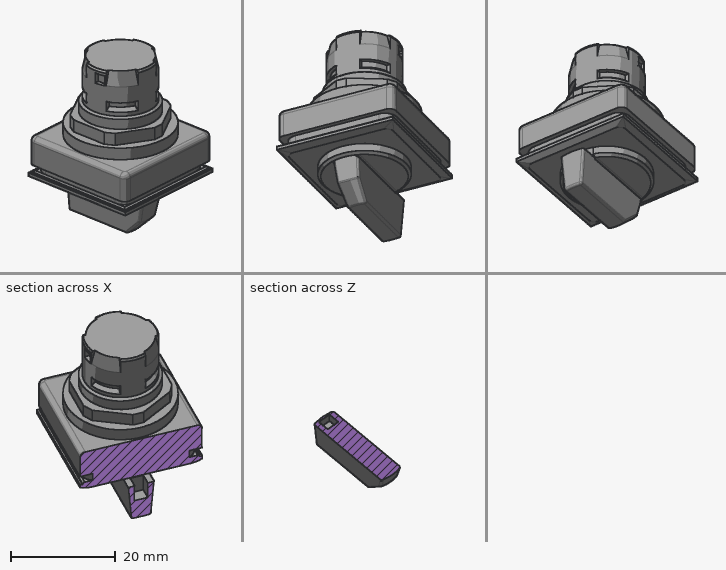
import cadquery as cq
import math

HANDLE_TOP = 8.1
PLATE_BOTTOM = 10.15
PLATE_RIM_BOTTOM = 10.85
PLATE_RIM_TOP = 11.58
SEAL_RIM_TOP = 11.75
NECK_BOTTOM = 12.0
BODY_BOTTOM = 13.55
BODY_TOP = 19.5
FLANGE_TOP = 21.95
NUT_TOP = 24.5
COLLAR_TOP = 26.95
BARREL_TOP = 36.3

OVERSIZE = 36.3

PLATE_SIDE = 24.9
PLATE_BOTTOM_SIDE = 22.2
PLATE_RIM_CORNER = 0.05
PLATE_BOTTOM_CORNER = 1.45
SEAL_SIDE = 23.95
NECK_SIDE = 23.0
NECK_CORNER = 2.58
BODY_CORNER = 1.4
BODY_TOP_FILLET = 1.05

FLANGE_DIAMETER = 22.0
COLLAR_DIAMETER = 16.0
COLLAR_CHAMFER_HEIGHT = 0.33
BARREL_DIAMETER = 14.65
BARREL_TOP_DIAMETER = 14.15
BARREL_CHAMFER_HEIGHT = 0.47

NUT_ACROSS_FLATS = 18.0
NUT_ACROSS_CORNERS = 19.53

QUADRANT_START = 2.55
WINDOW_DIAMETER = 13.1
NOTCH_TOP_DIAMETER = 13.32
NOTCH_BOTTOM = 33.25
WINDOW_BOTTOM = 27.77
WINDOW_FLOOR_TOP = 28.5
WINDOW_TOP = 29.75

KEY_START = 0.07
KEY_WIDTH = 2.2
KEY_BOTTOM = 33.15
KEY_TOP = 35.25
KEY_FLOOR = 6.35

BASE_DIAMETER = 17.85
BASE_CHAMFER_WIDTH = 0.58
BASE_CHAMFER_HEIGHT = 0.5
BLOCK_DIAMETER = 17.9
BLOCK_WIDTH = 5.45
HANDLE_TOP_WIDTH = 5.35
HANDLE_TIP_WIDTH = 4.05
HANDLE_END_TOP_RADIUS = 11.95
HANDLE_END_TIP_RADIUS = 11.7
NOSE_TOP_X = 8.3
NOSE_CORNER_X = 7.22
NOSE_CORNER_Z = 3.55
NOSE_TIP_X = 3.55
NOSE_BULGE_RADIUS = 8.35
HANDLE_FILLET = 0.5
ROOT_FILLET = 0.3
POCKET_WIDTH = 2.65
POCKET_END_X = -11.33
POCKET_DEPTH = 3.63


def square_block(side, bottom, top, corner=0.0):
    block = cq.Workplane("XY").workplane(offset=bottom).rect(side, side).extrude(top - bottom)
    return block.edges("|Z").fillet(corner) if corner else block


def cylinder(diameter, bottom, top):
    return cq.Workplane("XY").workplane(offset=bottom).circle(diameter / 2).extrude(top - bottom)


def revolved(points):
    """Solid of revolution about Z from (radius, height) points."""
    return cq.Workplane("XZ").polyline(points).close().revolve(360, (0, 0), (0, 1))


def make_plate():
    """Thin square front plate with a bevelled underside and a sloping seal on top."""
    rim = square_block(PLATE_SIDE, PLATE_RIM_BOTTOM, PLATE_RIM_TOP)
    bottom_outline = (
        cq.Sketch().rect(PLATE_BOTTOM_SIDE, PLATE_BOTTOM_SIDE).vertices().fillet(PLATE_BOTTOM_CORNER)
    )
    rim_outline = cq.Sketch().rect(PLATE_SIDE, PLATE_SIDE).vertices().fillet(PLATE_RIM_CORNER)
    bevel_height = cq.Location(cq.Vector(0, 0, PLATE_RIM_BOTTOM - PLATE_BOTTOM))
    bevel = (
        cq.Workplane("XY").workplane(offset=PLATE_BOTTOM)
        .placeSketch(bottom_outline, rim_outline.moved(bevel_height))
        .loft()
    )
    seal_rim = square_block(SEAL_SIDE, PLATE_RIM_TOP, SEAL_RIM_TOP)
    seal_height = NECK_BOTTOM - SEAL_RIM_TOP
    seal_angle = math.degrees(math.atan2((SEAL_SIDE - NECK_SIDE) / 2, seal_height))
    seal_slope = seal_rim.faces(">Z").workplane().rect(SEAL_SIDE, SEAL_SIDE).extrude(
        seal_height, combine=False, taper=seal_angle
    )
    return rim.union(bevel).union(seal_rim).union(seal_slope)


def make_body():
    neck = square_block(NECK_SIDE, NECK_BOTTOM, BODY_BOTTOM, NECK_CORNER)
    body = square_block(PLATE_SIDE, BODY_BOTTOM, BODY_TOP, BODY_CORNER)
    body = body.faces(">Z").edges().fillet(BODY_TOP_FILLET)
    return neck.union(body)


def make_nut():
    height = NUT_TOP - FLANGE_TOP
    plane = cq.Workplane("XY").workplane(offset=FLANGE_TOP)
    nut = plane.polygon(6, NUT_ACROSS_FLATS / math.cos(math.pi / 6)).extrude(height)
    corner_cutter = plane.polygon(6, NUT_ACROSS_CORNERS / math.cos(math.pi / 6)).extrude(height)
    return nut.intersect(corner_cutter.rotate((0, 0, 0), (0, 0, 1), 30))


def quadrant_columns(bottom, top):
    """Four square columns standing in the diagonal quadrants around the Z axis."""
    reach = BARREL_DIAMETER / 2
    size = reach - QUADRANT_START
    centre = QUADRANT_START + size / 2
    return (
        cq.Workplane("XY").workplane(offset=bottom)
        .rect(2 * centre, 2 * centre, forConstruction=True).vertices()
        .rect(size, size).extrude(top - bottom)
    )


def make_barrel():
    radius = BARREL_DIAMETER / 2
    window_radius = WINDOW_DIAMETER / 2
    collar_radius = COLLAR_DIAMETER / 2
    barrel = revolved([
        (0, NUT_TOP),
        (collar_radius, NUT_TOP),
        (collar_radius, COLLAR_TOP - COLLAR_CHAMFER_HEIGHT),
        (radius, COLLAR_TOP),
        (radius, BARREL_TOP - BARREL_CHAMFER_HEIGHT),
        (BARREL_TOP_DIAMETER / 2, BARREL_TOP),
        (0, BARREL_TOP),
    ])
    notch_core = revolved([
        (0, NOTCH_BOTTOM), (radius, NOTCH_BOTTOM), (NOTCH_TOP_DIAMETER / 2, BARREL_TOP), (0, BARREL_TOP),
    ])
    window_core = revolved([
        (0, WINDOW_BOTTOM), (radius, WINDOW_BOTTOM), (window_radius, WINDOW_FLOOR_TOP),
        (window_radius, WINDOW_TOP), (0, WINDOW_TOP),
    ])
    barrel = barrel.cut(quadrant_columns(NOTCH_BOTTOM, BARREL_TOP).cut(notch_core))
    barrel = barrel.cut(quadrant_columns(WINDOW_BOTTOM, WINDOW_TOP).cut(window_core))

    key = cq.Workplane("XY").box(KEY_WIDTH, radius - KEY_FLOOR, KEY_TOP - KEY_BOTTOM, centered=False)
    key = key.translate((KEY_START, -radius, KEY_BOTTOM))
    for angle in (0, 180):
        barrel = barrel.cut(key.rotate((0, 0, 0), (0, 0, 1), angle))
    return barrel


def bulged_nose(lower, upper):
    """Long bar whose rounded front touches the nose line from lower to upper, given as (x, z)."""
    run = upper[0] - lower[0]
    rise = upper[1] - lower[1]
    along_nose = cq.Plane(origin=(lower[0], 0, lower[1]), xDir=(-rise, 0, run), normal=(run, 0, rise))
    return (
        cq.Workplane(along_nose)
        .moveTo(NOSE_BULGE_RADIUS, -NOSE_BULGE_RADIUS)
        .threePointArc((0, 0), (NOSE_BULGE_RADIUS, NOSE_BULGE_RADIUS))
        .lineTo(OVERSIZE, NOSE_BULGE_RADIUS)
        .lineTo(OVERSIZE, -NOSE_BULGE_RADIUS)
        .close().extrude(OVERSIZE, both=True)
    )


def make_handle():
    outline = (
        cq.Workplane("XZ")
        .polyline([
            (-HANDLE_END_TOP_RADIUS, 0), (NOSE_TIP_X, 0), (NOSE_CORNER_X, NOSE_CORNER_Z),
            (NOSE_TOP_X, HANDLE_TOP), (-HANDLE_END_TOP_RADIUS, HANDLE_TOP),
        ])
        .close().extrude(HANDLE_TOP_WIDTH / 2, both=True)
    )
    wedge = (
        cq.Workplane("YZ")
        .polyline([
            (-HANDLE_TIP_WIDTH / 2, 0), (HANDLE_TIP_WIDTH / 2, 0),
            (HANDLE_TOP_WIDTH / 2, HANDLE_TOP), (-HANDLE_TOP_WIDTH / 2, HANDLE_TOP),
        ])
        .close().extrude(HANDLE_END_TOP_RADIUS, both=True)
    )
    end_cone = revolved([
        (0, 0), (HANDLE_END_TIP_RADIUS, 0), (HANDLE_END_TOP_RADIUS, HANDLE_TOP), (0, HANDLE_TOP),
    ])
    handle = outline.intersect(wedge).intersect(end_cone)
    handle = handle.intersect(bulged_nose((NOSE_TIP_X, 0), (NOSE_CORNER_X, NOSE_CORNER_Z)))
    handle = handle.intersect(bulged_nose((NOSE_CORNER_X, NOSE_CORNER_Z), (NOSE_TOP_X, HANDLE_TOP)))
    top_edges = handle.faces(">Z").edges().vals()
    rounded = [edge for edge in handle.edges().vals() if not any(edge.isSame(top) for top in top_edges)]
    return handle.newObject(rounded).fillet(HANDLE_FILLET)


def make_root_fillets():
    """Concave strips where the handle sides meet the underside of the base."""
    side_y = HANDLE_TOP_WIDTH / 2
    outer_y = side_y + ROOT_FILLET
    lower_z = HANDLE_TOP - ROOT_FILLET
    inner_y = side_y - ROOT_FILLET
    arc_offset = ROOT_FILLET * math.sqrt(0.5)
    strip = (
        cq.Workplane("YZ")
        .moveTo(inner_y, HANDLE_TOP)
        .lineTo(outer_y, HANDLE_TOP)
        .threePointArc((outer_y - arc_offset, lower_z + arc_offset), (side_y, lower_z))
        .lineTo(inner_y, lower_z)
        .close().extrude(BASE_DIAMETER / 2, both=True)
    )
    strips = strip.union(strip.mirror("XZ"))
    return strips.intersect(cylinder(BASE_DIAMETER - 2 * BASE_CHAMFER_WIDTH, lower_z, HANDLE_TOP))


def make_knob():
    """Round base, handle with its blind pocket, and the fillets between them."""
    radius = BASE_DIAMETER / 2
    base = revolved([
        (0, HANDLE_TOP),
        (radius - BASE_CHAMFER_WIDTH, HANDLE_TOP),
        (radius, HANDLE_TOP + BASE_CHAMFER_HEIGHT),
        (radius, PLATE_BOTTOM),
        (0, PLATE_BOTTOM),
    ])
    block = cylinder(BLOCK_DIAMETER, HANDLE_TOP, PLATE_BOTTOM).intersect(
        cq.Workplane("XY").box(OVERSIZE, BLOCK_WIDTH, OVERSIZE).translate((-OVERSIZE / 2, 0, 0))
    )
    pocket_length = -POCKET_END_X - radius
    pocket = cq.Workplane("XY").box(pocket_length, POCKET_WIDTH, POCKET_DEPTH).translate(
        (POCKET_END_X + pocket_length / 2, 0, HANDLE_TOP - POCKET_DEPTH / 2)
    )
    return base.union(block).union(make_handle().cut(pocket)).union(make_root_fillets())


flange = cylinder(FLANGE_DIAMETER, BODY_TOP, FLANGE_TOP)

result = make_plate().union(make_body()).union(flange)
result = result.union(make_nut()).union(make_barrel()).union(make_knob())